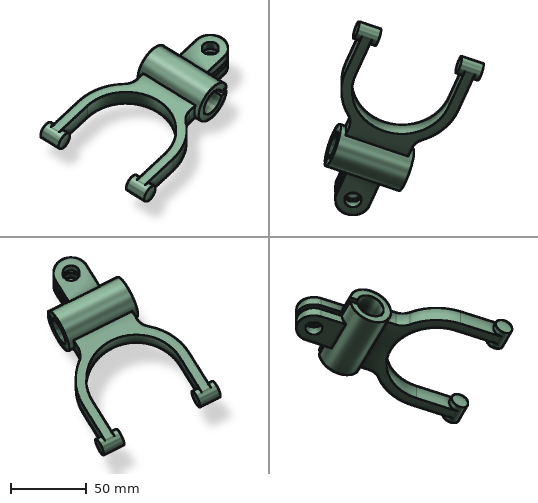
import cadquery as cq
import math

barrel_diameter = 29.4
bore_diameter = 18.7
barrel_length = 52.0

lug_width = 23.5
lug_thickness = 17.9
lug_hole_diameter = 11.1
lug_hole_y = 29.5
slit_width = 3.7

fork_thickness = 11.9
fork_inner_radius = 33.0
fork_outer_radius = 40.1
fork_center_y = -58.8
neck_half_width = 22.2
neck_fillet_radius = 11.4

pin_radius = fork_thickness / 2
pin_inner_x = 28.7
pin_outer_x = 44.2
overall_length = 135.5
lug_end_y = lug_hole_y + lug_width / 2
pin_y = lug_end_y - overall_length + pin_radius


def x_cylinder(diameter, start_x, length, y=0):
    return cq.Workplane("YZ", origin=(start_x, y, 0)).circle(diameter / 2).extrude(length)


def make_lug():
    plate = cq.Workplane("XY").rect(lug_width, lug_hole_y).extrude(lug_thickness / 2, both=True)
    plate = plate.translate((0, lug_hole_y / 2, 0))
    rounded_end = (
        cq.Workplane("XY")
        .center(0, lug_hole_y)
        .circle(lug_width / 2)
        .extrude(lug_thickness / 2, both=True)
    )
    return plate.union(rounded_end)


def make_fork():
    fillet_x = neck_half_width + neck_fillet_radius
    center_distance = fork_outer_radius + neck_fillet_radius
    fillet_y = fork_center_y + math.sqrt(center_distance**2 - fillet_x**2)
    fillet_angle = math.atan2(fillet_y - fork_center_y, fillet_x)

    def outer_arc_point(angle):
        return (
            fork_outer_radius * math.cos(angle),
            fork_center_y + fork_outer_radius * math.sin(angle),
        )

    arc_start = outer_arc_point(fillet_angle)
    arc_middle = outer_arc_point(fillet_angle / 2)
    fillet_middle_angle = math.pi + fillet_angle / 2
    fillet_middle = (
        fillet_x + neck_fillet_radius * math.cos(fillet_middle_angle),
        fillet_y + neck_fillet_radius * math.sin(fillet_middle_angle),
    )

    half_fork = (
        cq.Workplane("XY")
        .moveTo(0, 0)
        .lineTo(neck_half_width, 0)
        .lineTo(neck_half_width, fillet_y)
        .threePointArc(fillet_middle, arc_start)
        .threePointArc(arc_middle, (fork_outer_radius, fork_center_y))
        .lineTo(fork_outer_radius, pin_y)
        .lineTo(fork_inner_radius, pin_y)
        .lineTo(fork_inner_radius, fork_center_y)
        .radiusArc((0, fork_center_y + fork_inner_radius), -fork_inner_radius)
        .close()
        .extrude(fork_thickness / 2, both=True)
    )
    return half_fork.union(half_fork.mirror("YZ"))


body = x_cylinder(barrel_diameter, -barrel_length / 2, barrel_length)
body = body.union(make_lug()).union(make_fork())

pin_length = pin_outer_x - pin_inner_x
for pin_start_x in (-pin_outer_x, pin_inner_x):
    body = body.union(x_cylinder(2 * pin_radius, pin_start_x, pin_length, pin_y))

bore = x_cylinder(bore_diameter, -barrel_length / 2, barrel_length)
slit = cq.Workplane("XY").box(
    barrel_length, lug_end_y, slit_width, centered=(True, False, True)
)
bolt_hole = (
    cq.Workplane("XY")
    .center(0, lug_hole_y)
    .circle(lug_hole_diameter / 2)
    .extrude(lug_thickness / 2, both=True)
)

result = body.cut(bore).cut(slit).cut(bolt_hole)